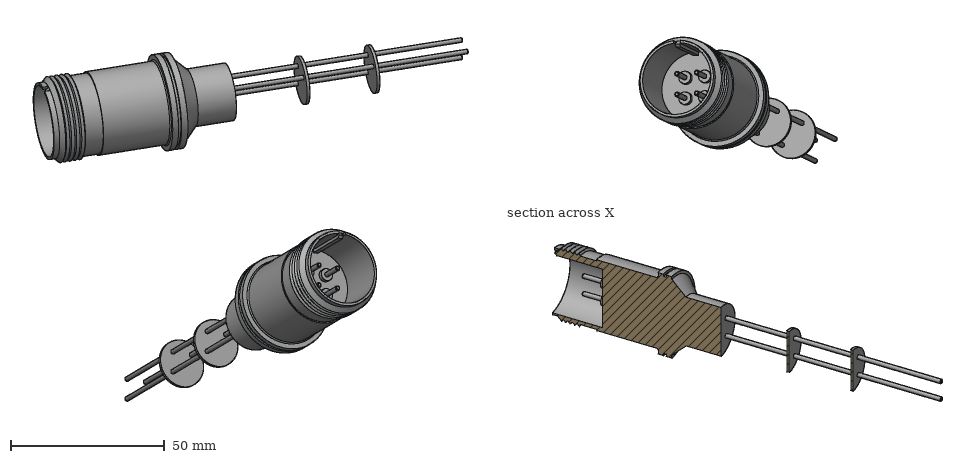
import cadquery as cq

LENGTH = 142.1

LIP_RADIUS = 12.6
LIP_LENGTH = 1.8
THREAD_CREST_RADIUS = 14.2
THREAD_DEPTH = 0.9
THREAD_PITCH = 1.7
THREAD_TURNS = 4
THREAD_END = 10.0
THREAD_RUNOUT = 0.4
BODY_STEP = 16.3
BODY_RADIUS = 13.8
FLANGE_DIAMETER = 31.7
FLANGE_FRONT = 39.1
FLANGE_BEVEL = 0.4
FLANGE_GROOVE_DEPTH = 0.9
FLANGE_GROOVE_FRONT = 41.0
FLANGE_GROOVE_WIDTH = 1.0
FLANGE_REAR = 44.2
TAPER_FRONT_RADIUS = 14.8
TAPER_REAR = 49.5
NECK_RADIUS = 9.5
NECK_REAR = 62.4

BORE_RADIUS = 11.8
BORE_DEPTH = 18.5

KEY_WIDTH = 1.5
NOTCH_WIDTH = 2.4
KEY_TIP_HEIGHT = 11.5
KEY_BOTTOM_HEIGHT = 10.7
KEY_TIP_SETBACK = 0.7

CONTACT_SPACING = 6.8
PIN_DIAMETER = 1.5
PIN_TIP_DEPTH = 9.4
TIP_CHAMFER = 0.3
COLLAR_DIAMETER = 4.1
COLLAR_HEIGHT = 1.4
WIRE_DIAMETER = 1.5

DISC_DIAMETER = 15.9
DISC_THICKNESS = 1.0
DISC_CENTRES = (87.1, 110.7)

OVERLAP = 1.4

half_spacing = CONTACT_SPACING / 2
contact_places = [(x, z) for x in (-half_spacing, half_spacing) for z in (-half_spacing, half_spacing)]
wire_places = [(x, z) for x, z in contact_places if x < 0 or z > 0]


def rod(x, z, diameter, front, rear):
    """Cylinder along Y from front to rear."""
    plane = cq.Plane(origin=(x, front, z), xDir=(1, 0, 0), normal=(0, 1, 0))
    return cq.Workplane(plane).circle(diameter / 2).extrude(rear - front)


def make_shell():
    """Turned body: lip, ring thread, grooved flange, taper and neck."""
    root_radius = THREAD_CREST_RADIUS - THREAD_DEPTH
    flange_radius = FLANGE_DIAMETER / 2
    groove_radius = flange_radius - FLANGE_GROOVE_DEPTH
    groove_rear = FLANGE_GROOVE_FRONT + FLANGE_GROOVE_WIDTH
    lead_in_end = LIP_LENGTH + THREAD_CREST_RADIUS - LIP_RADIUS

    outline = [(0, 0), (LIP_RADIUS, 0), (LIP_RADIUS, LIP_LENGTH), (THREAD_CREST_RADIUS, lead_in_end)]
    for turn in reversed(range(THREAD_TURNS)):
        crest = THREAD_END - turn * THREAD_PITCH
        outline.append((root_radius, crest - THREAD_PITCH / 2))
        outline.append((THREAD_CREST_RADIUS, crest))
    outline += [
        (root_radius, THREAD_END + THREAD_RUNOUT),
        (root_radius, BODY_STEP),
        (BODY_RADIUS, BODY_STEP),
        (BODY_RADIUS, FLANGE_FRONT - FLANGE_BEVEL),
        (BODY_RADIUS + FLANGE_BEVEL, FLANGE_FRONT),
        (flange_radius, FLANGE_FRONT),
        (flange_radius, FLANGE_GROOVE_FRONT),
        (groove_radius, FLANGE_GROOVE_FRONT),
        (groove_radius, groove_rear),
        (flange_radius, groove_rear),
        (flange_radius, FLANGE_REAR),
        (TAPER_FRONT_RADIUS, FLANGE_REAR),
        (NECK_RADIUS, TAPER_REAR),
        (NECK_RADIUS, NECK_REAR),
        (0, NECK_REAR),
    ]
    return cq.Workplane("XY").polyline(outline).close().revolve(360, (0, 0, 0), (0, 1, 0))


def extrude_across(points, width):
    """Extrude a (Y, Z) outline along X, centred on the axis."""
    return cq.Workplane("YZ").polyline(points).close().extrude(width / 2, both=True)


def make_lip_notch():
    """Slot through the lip above the key."""
    top = LIP_RADIUS + OVERLAP
    return extrude_across(
        [(0, KEY_BOTTOM_HEIGHT), (LIP_LENGTH, KEY_BOTTOM_HEIGHT), (LIP_LENGTH, top), (0, top)], NOTCH_WIDTH
    )


def make_key():
    """Key along the bore, its front end pointed by two 45 degree faces."""
    upper_end = KEY_TIP_SETBACK + LIP_RADIUS - KEY_TIP_HEIGHT
    lower_end = KEY_TIP_SETBACK + KEY_TIP_HEIGHT - KEY_BOTTOM_HEIGHT
    rear = BORE_DEPTH + OVERLAP
    return extrude_across(
        [
            (KEY_TIP_SETBACK, KEY_TIP_HEIGHT),
            (upper_end, LIP_RADIUS),
            (rear, LIP_RADIUS),
            (rear, KEY_BOTTOM_HEIGHT),
            (lower_end, KEY_BOTTOM_HEIGHT),
        ],
        KEY_WIDTH,
    )


result = make_shell()
result = result.cut(rod(0, 0, 2 * BORE_RADIUS, 0, BORE_DEPTH))
result = result.cut(make_lip_notch())
result = result.union(make_key())

for x, z in contact_places:
    collar = rod(x, z, COLLAR_DIAMETER, BORE_DEPTH - COLLAR_HEIGHT, BORE_DEPTH + OVERLAP)
    pin = rod(x, z, PIN_DIAMETER, PIN_TIP_DEPTH, BORE_DEPTH + OVERLAP)
    pin = pin.faces("<Y").chamfer(TIP_CHAMFER)
    result = result.union(collar).union(pin)

for x, z in wire_places:
    wire = rod(x, z, WIRE_DIAMETER, NECK_REAR - OVERLAP, LENGTH)
    wire = wire.faces(">Y").chamfer(TIP_CHAMFER)
    result = result.union(wire)

for centre in DISC_CENTRES:
    disc_front = centre - DISC_THICKNESS / 2
    result = result.union(rod(0, 0, DISC_DIAMETER, disc_front, disc_front + DISC_THICKNESS))